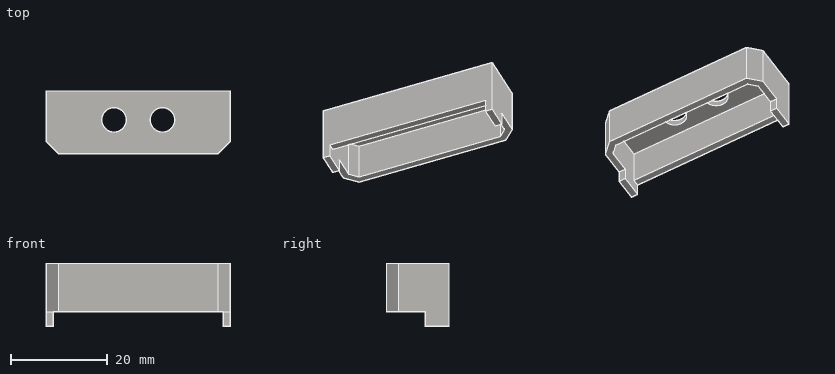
import cadquery as cq

length = 38.0
depth = 13.0
body_height = 10.0
corner_bevel = 2.5
wall = 1.5

leg_depth = 5.0
leg_drop = 3.0

hole_diameter = 5.0
hole_spacing = 10.0
hole_from_front = 7.0

half_length = length / 2


def make_body():
    """Solid block standing on Z = leg_drop, front face on Y = 0."""
    block = cq.Workplane("XY").box(length, depth, body_height, centered=(True, False, False))
    block = block.translate((0, 0, leg_drop))
    return block.edges("|Z and <Y").chamfer(corner_bevel)


def hollow_out(body):
    """Leave a roof and side walls of even thickness, open at the bottom."""
    return body.faces("<Z").shell(-wall)


def make_leg(side):
    """Leg at the left (side = -1) or right (side = 1) end, as tall as the whole cover."""
    leg = cq.Workplane("XY").box(wall, leg_depth, leg_drop + body_height, centered=(True, False, False))
    return leg.translate((side * (half_length - wall / 2), depth - leg_depth, 0))


def cut_roof_holes(body):
    """Two holes side by side along X, through the roof into the cavity."""
    hole_centres = [(side * hole_spacing / 2, hole_from_front) for side in (-1, 1)]
    holes = (
        cq.Workplane("XY")
        .pushPoints(hole_centres)
        .circle(hole_diameter / 2)
        .extrude(leg_drop + body_height)
    )
    return body.cut(holes)


cover = hollow_out(make_body())
for end in (-1, 1):
    cover = cover.union(make_leg(end))
result = cut_roof_holes(cover)